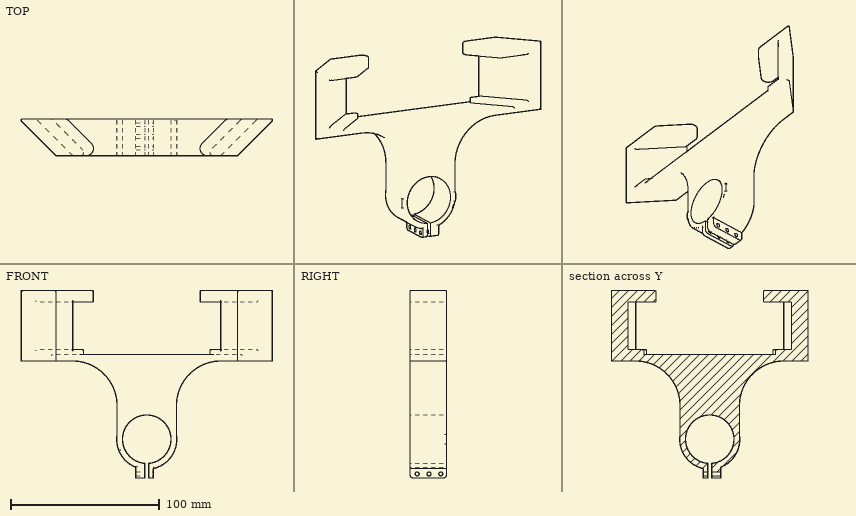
import cadquery as cq
import math


length = 169.8
depth = 25.0
height = 126.8

edge_radius = 1.0

bore_radius = 16.3
ring_wall = 4.0
ring_radius = bore_radius + ring_wall
ring_bulge = 0.25
stem_half_width = ring_radius - ring_bulge
stem_flare = 30.0

lug_bottom = -26.3
lug_top = -(bore_radius + ring_wall / 2)
slot_half_width = 1.2
left_lug_width = 6.3
right_lug_width = 3.2
lug_corner_radius = 2.5
screw_radius = 1.27
screw_spacing = 8.0
screw_row_offset = 0.5
middle_screw_y = depth / 2 + screw_row_offset
screw_edge_distance = 2.9
screw_z = lug_bottom + screw_edge_distance

cradle_height = 47.7
floor_thickness = 4.5
pad_height = 3.2
lip_thickness = 8.0
top_z = lug_bottom + height
base_z = top_z - cradle_height
floor_z = base_z + floor_thickness
pad_z = floor_z + pad_height
lip_z = top_z - lip_thickness

tip_angle = math.radians(45)
tangent_ratio = 1 / math.tan(tip_angle / 2)
wall_x = 50.0
lip_tip_radius = 5.0
lip_arc_x = 41.0
lip_x = lip_arc_x - lip_tip_radius * tangent_ratio
pad_tip_radius = 2.4
pad_arc_x = 45.0
pad_x = pad_arc_x - pad_tip_radius * tangent_ratio
outer_x = length / 2 + edge_radius * math.sqrt(2) - depth

tolerance = 0.002


def prism(points, z_low, z_high):
    """Extrude a plan outline between two heights."""
    return cq.Workplane("XY", origin=(0, 0, z_low)).polyline(points).close().extrude(z_high - z_low)


def slab(x_low, x_high, z_low, z_high):
    """Rectangular block over the full depth."""
    return prism([(x_low, 0), (x_high, 0), (x_high, depth), (x_low, depth)], z_low, z_high)


def slanted_bar(inner_x, z_low, z_high):
    """Right-hand parallelogram bar from the outer end to an inner side."""
    plan = [(outer_x, 0), (outer_x + depth, depth), (inner_x + depth, depth), (inner_x, 0)]
    return prism(plan, z_low, z_high)


def cradle_end():
    """Right-hand end: a wall with a lip at the top and a pad at the floor."""
    wall = slanted_bar(wall_x, base_z, top_z)
    pad = slanted_bar(pad_x, base_z, pad_z).edges("|Z and <X").fillet(pad_tip_radius)
    lip = slanted_bar(lip_x, lip_z, top_z)
    back_corner = cq.selectors.NearestToPointSelector((lip_x + depth, depth, top_z))
    lip = lip.edges("|Z").edges(back_corner).fillet(lip_tip_radius)
    lip = lip.edges("|Z and <X").fillet(lip_tip_radius)
    return wall.union(lip).union(pad)


def cradle_floor():
    """Flat floor between the two ends."""
    back_x = outer_x + depth
    return prism([(-outer_x, 0), (outer_x, 0), (back_x, depth), (-back_x, depth)], base_z, floor_z)


def stem():
    """Stem from the bore axis up to the floor, flaring out at the top."""
    flare_x = stem_half_width + stem_flare
    flare_z = base_z - stem_flare
    arc_rise = stem_flare * (1 - math.sqrt(0.5))
    arc_x = stem_half_width + arc_rise
    arc_z = base_z - arc_rise
    return (
        cq.Workplane("XZ")
        .moveTo(-stem_half_width, 0)
        .lineTo(stem_half_width, 0)
        .lineTo(stem_half_width, flare_z)
        .threePointArc((arc_x, arc_z), (flare_x, base_z))
        .lineTo(flare_x, floor_z)
        .lineTo(-flare_x, floor_z)
        .lineTo(-flare_x, base_z)
        .threePointArc((-arc_x, arc_z), (-stem_half_width, flare_z))
        .close()
        .extrude(-depth)
    )


def round_edges(body):
    """Round the back outline and the rims of the lips and pads."""

    def is_rounded(edge):
        bounds = edge.BoundingBox()
        middle_y = edge.Center().y
        on_back = math.isclose(bounds.ymin, depth, abs_tol=tolerance)
        on_rim_level = any(
            max(abs(bounds.zmin - level), abs(bounds.zmax - level)) < tolerance for level in (top_z, lip_z, pad_z)
        )
        along_wall = math.isclose(middle_y, depth / 2, abs_tol=tolerance)
        return on_back or (on_rim_level and not along_wall)

    edges = [edge for edge in body.edges().vals() if is_rounded(edge)]
    return body.newObject(edges).fillet(edge_radius)


def ring_band(ring):
    """Square-edged slice of the ring where it bulges past the sides of the stem."""
    half_height = math.sqrt(ring_radius**2 - stem_half_width**2)
    return ring.intersect(slab(-ring_radius, ring_radius, -half_height, half_height))


def lug(x_low, x_high):
    """Clamp lug with rounded bottom corners."""
    return slab(x_low, x_high, lug_bottom, lug_top).edges("|X and <Z").fillet(lug_corner_radius)


def screw_holes():
    """Row of screw holes that pass through both lugs."""
    return (
        cq.Workplane("YZ", origin=(0, middle_screw_y, screw_z))
        .rarray(screw_spacing, 1.7, 3, 1)
        .circle(screw_radius)
        .extrude(ring_radius, both=True)
    )


ring = cq.Workplane("XZ").circle(ring_radius).extrude(-depth)
bore = cq.Workplane("XZ").circle(bore_radius).extrude(-depth)
right_end = cradle_end()

body = cradle_floor().union(right_end).union(right_end.mirror("YZ")).union(stem()).union(ring).clean()
body = round_edges(body).union(ring_band(ring))

body = body.union(lug(-slot_half_width - left_lug_width, -slot_half_width))
body = body.union(lug(slot_half_width, slot_half_width + right_lug_width))
slot = slab(-slot_half_width, slot_half_width, lug_bottom, 0)
result = body.cut(bore).cut(slot).cut(screw_holes())